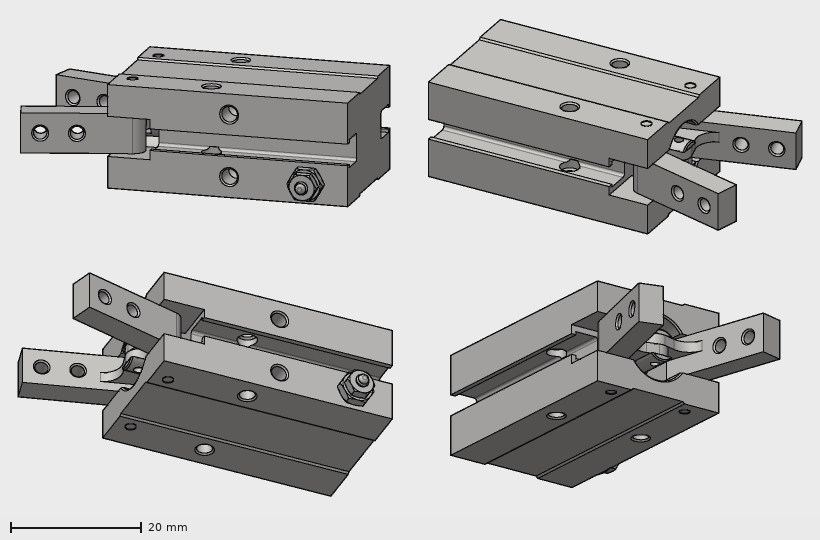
import cadquery as cq
import math


LENGTH = 38.5
WIDTH = 23.0
HEIGHT = 16.5
RELIEF_WIDTH = 9.35
RELIEF_DEPTH = 0.3

RECESS_DEPTH = 6.8
RECESS_HEIGHT = 6.4
BORE_RADIUS = 5.4
BORE_CHAMFER = 0.25

SLOT_HEIGHT = 4.45
SLOT_DEPTH = 4.9
SLOT_FILLET = 0.5
SLOT_MOUTH_HEIGHT = 3.45
SLOT_LIP = 0.85

THREAD_DIAMETER = 2.5
THREAD_CHAMFER = 0.25
MOUNT_X = 15.6
MOUNT_Y = 8.0
COUNTERBORE_DIAMETER = 3.1
COUNTERBORE_DEPTH = 1.05
PORT_X = 19.5
PORT_Z = 5.0
PORT_DEPTH = 4.0
PORT_CONE_DEPTH = 0.6
PORT_TIP_DIAMETER = 0.65

FITTING_X = 31.95
FITTING_Z = -5.0
NUT_FLATS = 5.0
NUT_END = 1.5
CAP_FLATS = 4.0
CAP_END = 2.95
HEX_CHAMFER_SLOPE = math.radians(30)
COLLAR_START_RADIUS = 0.95
COLLAR_RADIUS = 1.05
COLLAR_END = 3.3
STEM_RADIUS = 0.85
STEM_START = 3.6
FITTING_END = 4.15
STEM_ROUNDING = 0.5

OPENING_ANGLE = 15
PIVOT_X = 2.7
PIVOT_Y = 7.0
FINGER_REACH = 17.2
FINGER_HALF_THICKNESS = 2.0
PIVOT_PIN_DIAMETER = 1.7
PIVOT_PIN_RECESS = 0.15
FINGER_HOLE_REACHES = (8.5, 14.2)
FINGER_HOLE_DIAMETER = 2.05
FINGER_HOLE_CHAMFER = 0.25
LEVER_THICKNESS = 1.7
LEVER_FILLET = 3.0
LEVER_LENGTH = PIVOT_Y / math.cos(math.radians(OPENING_ANGLE))

ROD_RADIUS = 2.6
ROD_FRONT = -1.1
ROD_CHAMFER = 0.2
ROD_FLARE_START = 5.95
ROD_FLARE_END = 6.6
ROD_FLARE_RADIUS = 3.05
CLEVIS_END = 4.25
CLEVIS_PIN_X = PIVOT_X - LEVER_LENGTH * math.sin(math.radians(OPENING_ANGLE))
CLEVIS_PIN_DIAMETER = 1.45


def block(x_range, y_range, z_range):
    """Box spanning the given (start, end) ranges."""
    ranges = (x_range, y_range, z_range)
    sizes = [end - start for start, end in ranges]
    corner = tuple(start for start, end in ranges)
    return cq.Workplane("XY").box(*sizes, centered=False).translate(corner)


def turned(profile, direction, base):
    """Revolve (radius, distance) points about an axis that starts at base and runs along direction."""
    points = [(0, profile[0][1]), *profile, (0, profile[-1][1])]
    solid = cq.Workplane("XZ").polyline(points).close().revolve(360, (0, 0), (0, 1))
    plane = cq.Plane(origin=base, normal=direction)
    return cq.Workplane(solid.val().moved(plane.location))


def housing_profile():
    """Bar with a shallow, slant-sided relief along the middle of its top and bottom."""
    bar = block((0, LENGTH), (-WIDTH / 2, WIDTH / 2), (-HEIGHT / 2, HEIGHT / 2))
    floor = RELIEF_WIDTH / 2
    mouth = floor + RELIEF_DEPTH
    top = HEIGHT / 2
    bottom = top - RELIEF_DEPTH
    relief = (
        cq.Workplane("YZ")
        .polyline([(-mouth, top), (mouth, top), (floor, bottom), (-floor, bottom)])
        .close()
        .extrude(LENGTH)
    )
    return bar.cut(relief).cut(relief.mirror("XY"))


def front_opening():
    """Full-width recess for the fingers with the chamfered round bore around the rod."""
    half = RECESS_HEIGHT / 2
    recess = block((0, RECESS_DEPTH), (-WIDTH / 2, WIDTH / 2), (-half, half))
    bore = turned(
        [
            (BORE_RADIUS + BORE_CHAMFER, 0),
            (BORE_RADIUS, BORE_CHAMFER),
            (BORE_RADIUS, RECESS_DEPTH),
        ],
        (1, 0, 0),
        (0, 0, 0),
    )
    return recess.union(bore)


def sensor_slot():
    """Slot along the -Y side: a narrow mouth between two lips, wider behind them."""
    side = -WIDTH / 2
    mouth = SLOT_MOUTH_HEIGHT / 2
    half = SLOT_HEIGHT / 2
    opening = block((RECESS_DEPTH, LENGTH), (side, side + SLOT_LIP), (-mouth, mouth))
    channel = (
        block((RECESS_DEPTH, LENGTH), (side + SLOT_LIP, side + SLOT_DEPTH), (-half, half))
        .edges("|X and >Y")
        .fillet(SLOT_FILLET)
    )
    return opening.union(channel)


def mount_hole(y):
    """Threaded hole through the upper plate, counterbored from the sensor slot."""
    radius = THREAD_DIAMETER / 2
    counterbore = COUNTERBORE_DIAMETER / 2
    depth = (HEIGHT - SLOT_HEIGHT) / 2
    shoulder = depth - COUNTERBORE_DEPTH
    profile = [
        (radius + THREAD_CHAMFER, 0),
        (radius, THREAD_CHAMFER),
        (radius, shoulder - (counterbore - radius)),
        (counterbore, shoulder),
        (counterbore, depth + SLOT_FILLET),
    ]
    return turned(profile, (0, 0, -1), (MOUNT_X, y, HEIGHT / 2))


def port(z):
    """Blind threaded port in the -Y side with a conical bottom."""
    radius = THREAD_DIAMETER / 2
    profile = [
        (radius + THREAD_CHAMFER, 0),
        (radius, THREAD_CHAMFER),
        (radius, PORT_DEPTH),
        (PORT_TIP_DIAMETER / 2, PORT_DEPTH + PORT_CONE_DEPTH),
    ]
    return turned(profile, (0, 1, 0), (PORT_X, -WIDTH / 2, z))


def hexagon(flats, start, end):
    """Hexagonal prism along -Y whose corners are chamfered at both ends."""
    corner = flats / math.sqrt(3)
    face = flats / 2
    chamfer = (corner - face) * math.tan(HEX_CHAMFER_SLOPE)
    base = (FITTING_X, -WIDTH / 2, FITTING_Z)
    prism = (
        cq.Workplane(cq.Plane(origin=base, xDir=(1, 0, 0), normal=(0, -1, 0)))
        .workplane(offset=start)
        .polygon(6, 2 * corner)
        .extrude(end - start)
    )
    profile = [(face, start), (corner, start + chamfer), (corner, end - chamfer), (face, end)]
    return prism.intersect(turned(profile, (0, -1, 0), base))


def fitting():
    """Nut, hexagonal cap and round-ended stem standing on the -Y side."""
    stem = turned(
        [
            (COLLAR_START_RADIUS, CAP_END),
            (COLLAR_RADIUS, COLLAR_END),
            (STEM_RADIUS, STEM_START),
            (STEM_RADIUS, FITTING_END),
        ],
        (0, -1, 0),
        (FITTING_X, -WIDTH / 2, FITTING_Z),
    )
    stem = stem.faces("<Y").edges().fillet(STEM_ROUNDING)
    nut = hexagon(NUT_FLATS, 0, NUT_END)
    cap = hexagon(CAP_FLATS, NUT_END, CAP_END)
    return nut.union(cap).union(stem)


def pivot_pin_holes():
    """Holes through both plates for the pivot pins of the fingers."""
    return (
        cq.Workplane("XY")
        .workplane(offset=-HEIGHT / 2)
        .pushPoints([(PIVOT_X, -PIVOT_Y), (PIVOT_X, PIVOT_Y)])
        .circle(PIVOT_PIN_DIAMETER / 2)
        .extrude(HEIGHT)
    )


def make_housing():
    body = housing_profile().cut(front_opening()).cut(pivot_pin_holes())
    slot = sensor_slot()
    body = body.cut(slot).cut(slot.mirror("XZ"))
    for side in (-1, 1):
        hole = mount_hole(side * MOUNT_Y)
        body = body.cut(hole).cut(hole.mirror("XY"))
        body = body.cut(port(side * PORT_Z))
    return body.union(fitting())


def finger_bar():
    """Straight bar along -X from the pivot at the origin, with its outer rear corner rounded."""
    half = FINGER_HALF_THICKNESS
    return (
        cq.Workplane("XY")
        .workplane(offset=-RECESS_HEIGHT / 2)
        .moveTo(-FINGER_REACH, -half)
        .lineTo(half, -half)
        .lineTo(half, 0)
        .radiusArc((0, half), -half)
        .lineTo(-FINGER_REACH, half)
        .close()
        .extrude(RECESS_HEIGHT)
    )


def finger_lever():
    """Lever square to the bar, reaching from the pivot to the rod just below Z = 0."""
    half = FINGER_HALF_THICKNESS
    fillet_middle = LEVER_FILLET * (1 - math.sqrt(0.5))
    return (
        cq.Workplane("XY")
        .workplane(offset=-LEVER_THICKNESS)
        .moveTo(-half - LEVER_FILLET, -half)
        .threePointArc(
            (-half - fillet_middle, -half - fillet_middle),
            (-half, -half - LEVER_FILLET),
        )
        .lineTo(-half, -LEVER_LENGTH)
        .threePointArc((0, -LEVER_LENGTH - half), (half, -LEVER_LENGTH))
        .lineTo(half, 0)
        .lineTo(-half - LEVER_FILLET, 0)
        .close()
        .extrude(LEVER_THICKNESS)
    )


def finger_hole(reach):
    """Threaded hole across the bar, chamfered on both faces."""
    radius = FINGER_HOLE_DIAMETER / 2
    half = FINGER_HALF_THICKNESS
    profile = [
        (radius + FINGER_HOLE_CHAMFER, -half),
        (radius, -half + FINGER_HOLE_CHAMFER),
        (radius, half - FINGER_HOLE_CHAMFER),
        (radius + FINGER_HOLE_CHAMFER, half),
    ]
    return turned(profile, (0, 1, 0), (-reach, 0, 0))


def make_finger(turn):
    """Opened finger on the +Y side, turned about the X axis by the given angle."""
    finger = finger_bar().union(finger_lever())
    for reach in FINGER_HOLE_REACHES:
        finger = finger.cut(finger_hole(reach))
    pin_length = HEIGHT - 2 * PIVOT_PIN_RECESS
    pin = cq.Workplane("XY").circle(PIVOT_PIN_DIAMETER / 2).extrude(pin_length / 2, both=True)
    return (
        finger.union(pin)
        .rotate((0, 0, 0), (0, 0, 1), -OPENING_ANGLE)
        .translate((PIVOT_X, PIVOT_Y, 0))
        .rotate((0, 0, 0), (1, 0, 0), turn)
    )


def make_rod():
    """Rod in front of the recess wall: flared base, forked front end and cross hole."""
    rod = turned(
        [
            (ROD_RADIUS - ROD_CHAMFER, ROD_FRONT),
            (ROD_RADIUS, ROD_FRONT + ROD_CHAMFER),
            (ROD_RADIUS, ROD_FLARE_START),
            (ROD_FLARE_RADIUS, ROD_FLARE_END),
            (ROD_FLARE_RADIUS, RECESS_DEPTH),
        ],
        (1, 0, 0),
        (0, 0, 0),
    )
    fork_gap = block(
        (ROD_FRONT, CLEVIS_END),
        (-ROD_RADIUS, ROD_RADIUS),
        (-LEVER_THICKNESS, LEVER_THICKNESS),
    )
    cross_hole = (
        cq.Workplane("XY")
        .center(CLEVIS_PIN_X, 0)
        .circle(CLEVIS_PIN_DIAMETER / 2)
        .extrude(ROD_RADIUS, both=True)
    )
    return rod.cut(fork_gap).cut(cross_hole)


housing = make_housing()
rod = make_rod()
fingers = [make_finger(turn) for turn in (0, 180)]

result = cq.Compound.makeCompound(
    [housing.val(), rod.val(), *[finger.val() for finger in fingers]]
)